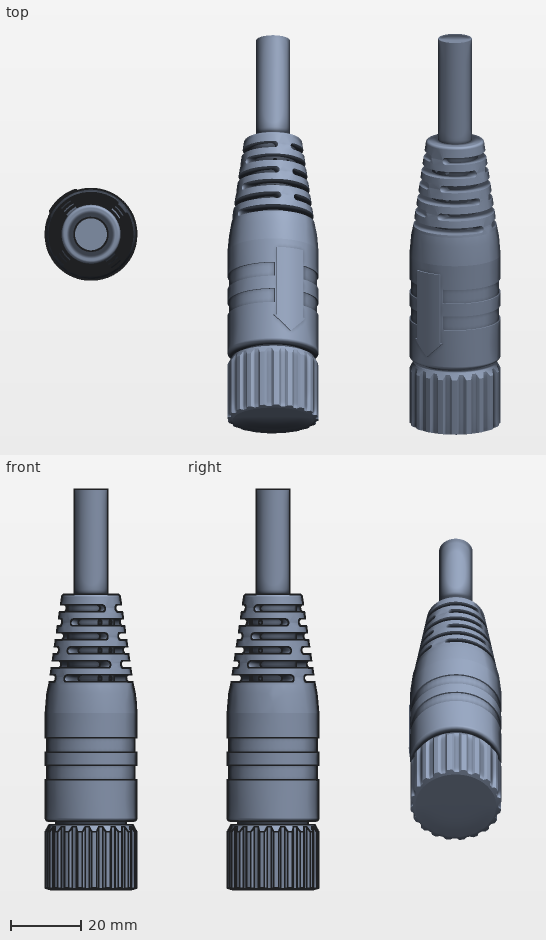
import cadquery as cq

TOTAL_HEIGHT = 114.2
CABLE_RADIUS = 4.8
GRIP_TOP_Z = 84.2
GRIP_BASE_Z = 58.5
SHOULDER_Z = 50.4
BODY_BOTTOM_Z = 19.5
NUT_TOP_Z = 18.5

BODY_RADIUS = 13.0
GRIP_TOP_RADIUS = 8.2
GRIP_BASE_RADIUS = 12.0
GRIP_TOP_FILLET = 0.8
BODY_BOTTOM_FILLET = 0.9
NECK_RADIUS = 10.0

BAND_RADIUS = 12.6
BAND_HEIGHT = 4.1
BAND_BOTTOMS_Z = (31.3, 39.2)
PAD_HALF_WIDTH = 4.5

LABEL_AZIMUTH = 130.0
LABEL_RADIUS = 13.5
LABEL_HALF_WIDTH = 4.0
LABEL_TOP_Z = 47.7
ARROW_HALF_WIDTH = 4.9
ARROW_SHOULDER_Z = 27.4
ARROW_TIP_Z = 22.8

SLOT_LEVELS = 6
SLOT_TOP_Z = 80.2
SLOT_PITCH = 4.0
SLOT_HEIGHT = SLOT_PITCH / 2
BRIDGE_HALF_WIDTH = 1.9
CORE_RADIUS = 6.6
CORE_HOLE_RADIUS = 0.6
CORE_HOLE_OFFSET = 1.9

RIDGE_COUNT = 20
RIDGE_AZIMUTH = 4.0
NUT_ROOT_RADIUS = 12.2
NUT_RADIUS = BODY_RADIUS
RIDGE_TIP_WIDTH = 1.4
RIDGE_ROOT_WIDTH = 2.6
NUT_TOP_RADIUS = 11.9
NUT_TOP_CHAMFER_HEIGHT = 2.0
NUT_BOTTOM_RADIUS = 11.5
NUT_BOTTOM_CHAMFER_HEIGHT = 0.5


def ring(outer_radius, inner_radius, bottom_z, height):
    """Ring around the Z axis."""
    base = cq.Workplane("XY").workplane(offset=bottom_z)
    return base.circle(outer_radius).circle(inner_radius).extrude(height)


def turn(shape, azimuth):
    """Rotate a shape about the Z axis by an azimuth in degrees."""
    return shape.rotate((0, 0, 0), (0, 0, 1), azimuth)


def housing_blank():
    """Turned shape of cable, grip, body and neck, from the nut's bottom face to the cable end."""
    shoulder_step = BODY_RADIUS - GRIP_BASE_RADIUS
    shoulder_height = GRIP_BASE_Z - SHOULDER_Z
    shoulder_radius = (shoulder_step**2 + shoulder_height**2) / (2 * shoulder_step)
    body = (
        cq.Workplane("XZ")
        .moveTo(0, BODY_BOTTOM_Z)
        .lineTo(BODY_RADIUS, BODY_BOTTOM_Z)
        .lineTo(BODY_RADIUS, SHOULDER_Z)
        .radiusArc((GRIP_BASE_RADIUS, GRIP_BASE_Z), -shoulder_radius)
        .lineTo(GRIP_TOP_RADIUS, GRIP_TOP_Z)
        .lineTo(0, GRIP_TOP_Z)
        .close()
        .revolve(360, (0, 0, 0), (0, 1, 0))
    )
    body = body.faces(">Z").edges().fillet(GRIP_TOP_FILLET)
    body = body.faces("<Z").edges().fillet(BODY_BOTTOM_FILLET)
    spine = cq.Workplane("XY").circle(CABLE_RADIUS).extrude(TOTAL_HEIGHT)
    neck = cq.Workplane("XY").circle(NECK_RADIUS).extrude(BODY_BOTTOM_Z)
    return body.union(neck).union(spine)


def body_bands():
    """Material to remove for the shallow bands, leaving the pad under the label."""
    pad = cq.Workplane("XY").box(
        LABEL_RADIUS, 2 * PAD_HALF_WIDTH, TOTAL_HEIGHT, centered=(False, True, False)
    )
    pad = turn(pad, LABEL_AZIMUTH)
    bands = cq.Workplane("XY")
    for bottom_z in BAND_BOTTOMS_Z:
        bands = bands.add(ring(LABEL_RADIUS, BAND_RADIUS, bottom_z, BAND_HEIGHT).cut(pad))
    return bands.combine()


def label():
    """Curved arrow plate that stands proud of the body and points toward the nut."""
    outline = [
        (-LABEL_HALF_WIDTH, LABEL_TOP_Z),
        (LABEL_HALF_WIDTH, LABEL_TOP_Z),
        (LABEL_HALF_WIDTH, ARROW_SHOULDER_Z),
        (ARROW_HALF_WIDTH, ARROW_SHOULDER_Z),
        (0, ARROW_TIP_Z),
        (-ARROW_HALF_WIDTH, ARROW_SHOULDER_Z),
        (-LABEL_HALF_WIDTH, ARROW_SHOULDER_Z),
    ]
    arrow = cq.Workplane("YZ").polyline(outline).close().extrude(2 * LABEL_RADIUS)
    shell = ring(LABEL_RADIUS, BAND_RADIUS, BODY_BOTTOM_Z, TOTAL_HEIGHT - BODY_BOTTOM_Z)
    return turn(arrow.intersect(shell), LABEL_AZIMUTH)


def slot_pair(level_z):
    """Two opposite round-ended slots around the core, with bridges along the X axis."""
    slot_length = 2 * BODY_RADIUS
    slot_middle = BRIDGE_HALF_WIDTH + slot_length / 2
    slots = (
        cq.Workplane("YZ")
        .pushPoints([(slot_middle, level_z), (-slot_middle, level_z)])
        .slot2D(slot_length, SLOT_HEIGHT)
        .extrude(BODY_RADIUS, both=True)
    )
    core = cq.Workplane("XY").circle(CORE_RADIUS).extrude(TOTAL_HEIGHT)
    return slots.cut(core)


def core_holes(level_z):
    """Two parallel holes along the X axis through the core."""
    return (
        cq.Workplane("YZ")
        .pushPoints([(CORE_HOLE_OFFSET, level_z), (-CORE_HOLE_OFFSET, level_z)])
        .circle(CORE_HOLE_RADIUS)
        .extrude(BODY_RADIUS, both=True)
    )


def make_housing():
    """Overmoulded housing in one piece with its cable."""
    housing = housing_blank().cut(body_bands()).union(label())
    for level in range(SLOT_LEVELS):
        level_z = SLOT_TOP_Z - level * SLOT_PITCH
        crosswise = level % 2 == 1
        bridge_azimuth = LABEL_AZIMUTH + (90 if crosswise else 0)
        housing = housing.cut(turn(slot_pair(level_z), bridge_azimuth))
        if crosswise:
            housing = housing.cut(turn(core_holes(level_z), LABEL_AZIMUTH))
    return housing


def ridge():
    """One trapezoidal ridge on the +X side, running the full height of the nut."""
    ridge_base = (NECK_RADIUS + NUT_ROOT_RADIUS) / 2
    outline = [
        (ridge_base, -RIDGE_ROOT_WIDTH / 2),
        (NUT_ROOT_RADIUS, -RIDGE_ROOT_WIDTH / 2),
        (NUT_RADIUS, -RIDGE_TIP_WIDTH / 2),
        (NUT_RADIUS, RIDGE_TIP_WIDTH / 2),
        (NUT_ROOT_RADIUS, RIDGE_ROOT_WIDTH / 2),
        (ridge_base, RIDGE_ROOT_WIDTH / 2),
    ]
    return cq.Workplane("XY").polyline(outline).close().extrude(NUT_TOP_Z)


def nut_envelope():
    """Turned limit of the nut, with a steep top chamfer and a shallow bottom chamfer."""
    return (
        cq.Workplane("XZ")
        .polyline([
            (0, 0),
            (NUT_BOTTOM_RADIUS, 0),
            (NUT_RADIUS, NUT_BOTTOM_CHAMFER_HEIGHT),
            (NUT_RADIUS, NUT_TOP_Z - NUT_TOP_CHAMFER_HEIGHT),
            (NUT_TOP_RADIUS, NUT_TOP_Z),
            (0, NUT_TOP_Z),
        ])
        .close()
        .revolve(360, (0, 0, 0), (0, 1, 0))
    )


def make_coupling_nut():
    """Ridged ring that turns on the neck of the housing."""
    nut = ring(NUT_ROOT_RADIUS, NECK_RADIUS, 0, NUT_TOP_Z)
    for index in range(RIDGE_COUNT):
        nut = nut.union(turn(ridge(), RIDGE_AZIMUTH + index * 360 / RIDGE_COUNT))
    return nut.intersect(nut_envelope())


housing = make_housing()
coupling_nut = make_coupling_nut()
result = cq.Compound.makeCompound([housing.solids().val(), coupling_nut.solids().val()])